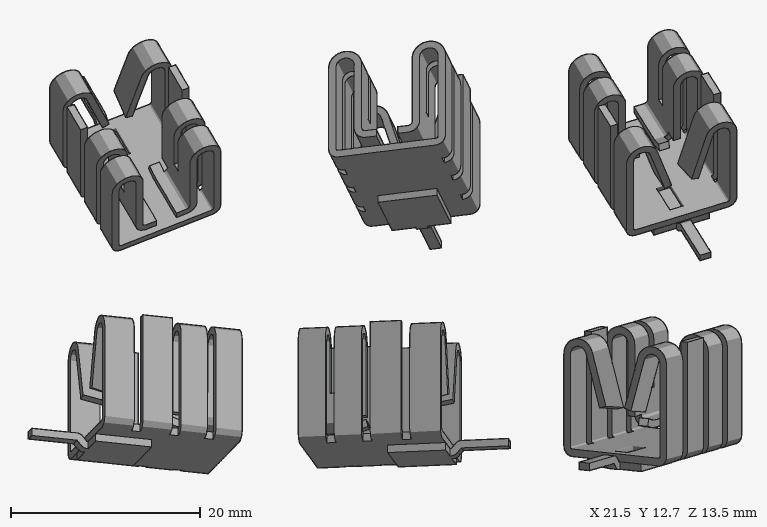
import cadquery as cq
import math

total_length = 21.5
sheet = 0.82

clip_start = 6.25
clip_width = 12.7
clip_height = 12.7
corner_radius = 1.07
arch_radius = 1.8
front_strip_width = 3.29
strip_gap = 0.95

spring_angle = 16.5
spring_front_length = 5.87
spring_back_length = 6.51

panel_slot_bottom = 6.65
panel_bend_height = 4.05
panel_bend_radius = 1.25
ledge_width = 1.15
ledge_start = 16.05
lip_angle = 16.5

plate_length = 6.2
plate_width = 6.4
tail_width = 1.25
tail_bend_start = 5.0
tail_bend_angle = 48.0

pocket_start = 7.56
pocket_length = 3.55
pocket_width = 1.55
pocket_depth = 0.52
pocket_edge_radius = 0.05

clip_bottom = sheet
clip_top = clip_bottom + clip_height
floor_top = clip_bottom + sheet
wall_outside = clip_width / 2
wall_inside = wall_outside - sheet
bend_start_y = wall_outside - corner_radius
bend_end_z = clip_bottom + corner_radius
arch_y = wall_outside - arch_radius
arch_z = clip_top - arch_radius
arch_inner_radius = arch_radius - sheet

strip_two_start = clip_start + front_strip_width + strip_gap
rear_start = strip_two_start + front_strip_width + strip_gap
rear_length = total_length - rear_start
rear_strip_width = (rear_length - strip_gap) / 2
rear_strip_starts = [rear_start, rear_start + rear_strip_width + strip_gap]

panel_outside = arch_y - arch_inner_radius
panel_inside = arch_y - arch_radius
ledge_outside = panel_outside - panel_bend_radius
ledge_inside = ledge_outside - ledge_width
ledge_bottom = panel_bend_height - panel_bend_radius
ledge_top = ledge_bottom + sheet


def polar(center, radius, degrees):
    """Point on a circle around center."""
    angle = math.radians(degrees)
    return center[0] + radius * math.cos(angle), center[1] + radius * math.sin(angle)


def box(x_range, y_range, z_range):
    """Solid block between the given limits."""
    size = [high - low for low, high in (x_range, y_range, z_range)]
    corner = (x_range[0], y_range[0], z_range[0])
    return cq.Workplane("XY").box(*size, centered=False).translate(corner)


def yz_sketch(x):
    """Workplane across the part at x, with Y to the right and Z up."""
    return cq.Workplane("YZ", origin=(x, 0, 0))


def sheet_bend(x, width, center, outer_radius, start, end):
    """Bent stretch of sheet along X, between two angles around its center."""
    inner_radius = outer_radius - sheet
    middle = (start + end) / 2
    return (
        yz_sketch(x)
        .moveTo(*polar(center, outer_radius, start))
        .threePointArc(polar(center, outer_radius, middle), polar(center, outer_radius, end))
        .lineTo(*polar(center, inner_radius, end))
        .threePointArc(polar(center, inner_radius, middle), polar(center, inner_radius, start))
        .close()
        .extrude(width)
    )


def wall_strip(x, width, top):
    """Corner bend and upright wall of one strip."""
    corner = sheet_bend(x, width, (bend_start_y, bend_end_z), corner_radius, 270, 360)
    wall = box((x, x + width), (wall_inside, wall_outside), (bend_end_z, top))
    return corner.union(wall)


def spring_strip():
    """Front strip: wall, arch and leaning spring leg with a slanted tip."""
    strip = wall_strip(clip_start, front_strip_width, arch_z)
    arch_end = 180 - spring_angle
    arch = sheet_bend(clip_start, front_strip_width, (arch_y, arch_z), arch_radius, 0, arch_end)

    lean = math.radians(spring_angle)
    leg_y, leg_z = polar((arch_y, arch_z), arch_radius, arch_end)
    leg_plane = cq.Plane(
        origin=(clip_start, leg_y, leg_z),
        xDir=(1, 0, 0),
        normal=(0, -math.cos(lean), math.sin(lean)),
    )
    leg = (
        cq.Workplane(leg_plane)
        .polyline([
            (0, 0),
            (front_strip_width, 0),
            (front_strip_width, -spring_back_length),
            (0, -spring_front_length),
        ])
        .close()
        .extrude(-sheet)
    )
    return strip.union(arch).union(leg)


def contact_lip():
    """Lip in front of the ledge, bent upwards around the top edge of the ledge."""
    pivot = (ledge_start, ledge_top)
    tilt = math.radians(lip_angle)
    reach = ledge_start - rear_start
    lip_length = (reach - sheet * math.sin(tilt)) / math.cos(tilt)
    tip_top = polar(pivot, lip_length, 180 - lip_angle)
    down = 270 - lip_angle
    return (
        cq.Workplane("XZ", origin=(0, ledge_outside, 0))
        .moveTo(*pivot)
        .lineTo(*tip_top)
        .lineTo(*polar(tip_top, sheet, down))
        .lineTo(*polar(pivot, sheet, down))
        .threePointArc(polar(pivot, sheet, 270 - lip_angle / 2), polar(pivot, sheet, 270))
        .close()
        .extrude(ledge_width)
    )


def contact_strips():
    """Two rear strips whose inner legs join into one panel with a ledge below."""
    panel = box(
        (rear_start, total_length),
        (panel_inside, panel_outside),
        (panel_bend_height, panel_slot_bottom),
    )
    bend = sheet_bend(
        ledge_start, total_length - ledge_start,
        (ledge_outside, panel_bend_height), panel_bend_radius, 270, 360,
    )
    ledge = box((ledge_start, total_length), (ledge_inside, ledge_outside), (ledge_bottom, ledge_top))
    strips = panel.union(bend).union(ledge).union(contact_lip())

    for x in rear_strip_starts:
        wall = wall_strip(x, rear_strip_width, arch_z)
        arch = sheet_bend(x, rear_strip_width, (arch_y, arch_z), arch_radius, 0, 180)
        leg = box(
            (x, x + rear_strip_width),
            (panel_inside, panel_outside),
            (panel_slot_bottom, arch_z),
        )
        strips = strips.union(wall).union(arch).union(leg)
    return strips


def make_floor():
    """Flat floor with a shallow pocket whose rim is rounded."""
    floor = box((clip_start, total_length), (-bend_start_y, bend_start_y), (clip_bottom, floor_top))
    pocket = box(
        (pocket_start, pocket_start + pocket_length),
        (-pocket_width / 2, pocket_width / 2),
        (floor_top - pocket_depth, floor_top),
    ).edges("|Z").fillet(pocket_edge_radius)
    pocket_region = cq.selectors.BoxSelector(
        (pocket_start - pocket_edge_radius, -pocket_width, floor_top - pocket_edge_radius),
        (pocket_start + pocket_length + pocket_edge_radius, pocket_width, floor_top + pocket_edge_radius),
    )
    return floor.cut(pocket).edges(pocket_region).fillet(pocket_edge_radius)


def make_clip():
    """Floor with the same strips on both sides."""
    clip = make_floor()
    plain_strip = wall_strip(strip_two_start, front_strip_width, clip_top)
    for strip in (spring_strip(), plain_strip, contact_strips()):
        clip = clip.union(strip).union(strip.mirror("XZ"))
    return clip


def tail():
    """Tail that steps up by one sheet thickness, bent around two sharp inner corners."""
    slope = math.radians(tail_bend_angle)
    first_pivot = (tail_bend_start, sheet)
    second_pivot = (tail_bend_start + sheet / math.sin(slope), sheet)
    up = 90 - tail_bend_angle
    down = 270 - tail_bend_angle
    return (
        cq.Workplane("XZ", origin=(0, tail_width / 2, 0))
        .moveTo(0, sheet)
        .lineTo(0, 2 * sheet)
        .lineTo(tail_bend_start, 2 * sheet)
        .threePointArc(polar(first_pivot, sheet, (90 + up) / 2), polar(first_pivot, sheet, up))
        .lineTo(*second_pivot)
        .lineTo(clip_start, sheet)
        .lineTo(clip_start, 0)
        .lineTo(second_pivot[0], 0)
        .threePointArc(polar(second_pivot, sheet, (270 + down) / 2), polar(second_pivot, sheet, down))
        .lineTo(*first_pivot)
        .close()
        .extrude(tail_width)
    )


def make_terminal():
    """Plate under the clip floor, with its tail."""
    plate = box(
        (clip_start, clip_start + plate_length),
        (-plate_width / 2, plate_width / 2),
        (0, sheet),
    )
    return plate.union(tail())


clip = make_clip()
terminal = make_terminal()

result = cq.Compound.makeCompound([clip.val(), terminal.val()])